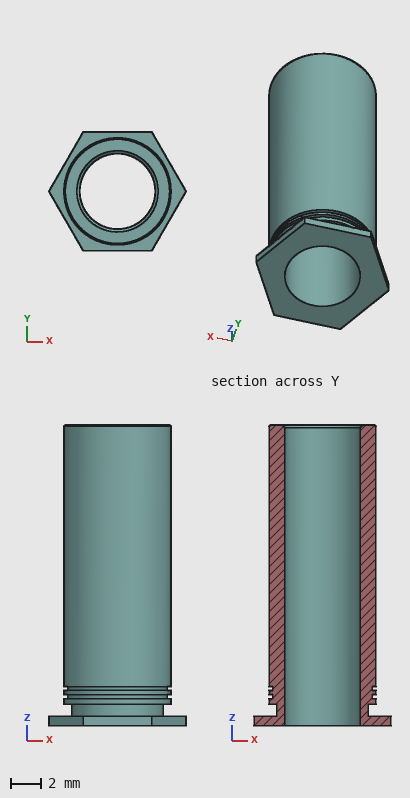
import cadquery as cq
import math

height = 20.0
flats_width = 7.9
head_corner_diameter = flats_width / math.cos(math.pi / 6)
head_thickness = 0.65

barrel_diameter = 7.12
bore_diameter = 5.0
rim_chamfer = 0.1
bore_chamfer = 0.2

neck_diameter = 6.1
neck_top = 1.45
groove_diameter = 6.62
groove_width = 0.25
groove_bottoms = (1.82, 2.35)


def ring_cut(inner_diameter, bottom, width):
    """Ring that trims the barrel down to inner_diameter."""
    return (
        cq.Workplane("XY")
        .workplane(offset=bottom)
        .circle(barrel_diameter)
        .circle(inner_diameter / 2)
        .extrude(width)
    )


barrel = cq.Workplane("XY").circle(barrel_diameter / 2).extrude(height)
barrel = barrel.faces(">Z").edges().chamfer(rim_chamfer)

barrel = barrel.cut(ring_cut(neck_diameter, head_thickness, neck_top - head_thickness))
for groove_bottom in groove_bottoms:
    barrel = barrel.cut(ring_cut(groove_diameter, groove_bottom, groove_width))

head = cq.Workplane("XY").polygon(6, head_corner_diameter).extrude(head_thickness)

bore = cq.Workplane("XY").circle(bore_diameter / 2).extrude(height)
result = barrel.union(head).cut(bore)
bore_rim = cq.selectors.RadiusNthSelector(0)
result = result.faces(">Z").edges(bore_rim).chamfer(bore_chamfer)